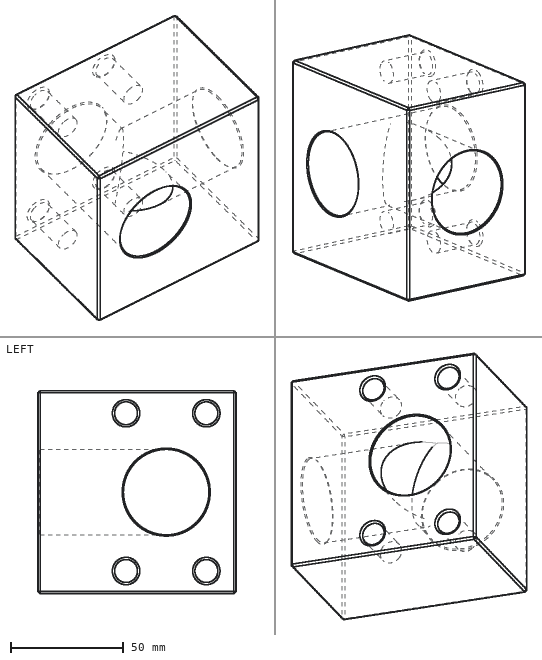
import cadquery as cq
import math

width = 65.0
depth = 88.0
height = 90.0
edge_chamfer = 1.0

bore_diameter = 38.0
bore_chamfer = 0.5
bore_offset_y = -13.0

screw_diameter = 10.2
screw_chamfer = 1.0
screw_depth = 22.5
screw_tip_angle = 118.0
screw_spacing_y = 35.6
screw_spacing_z = 70.0


def hole_cutter(diameter, length, chamfer, tip_length=0):
    """Cutter along +X from the origin, with a 45 degree mouth and an optional conical tip."""
    radius = diameter / 2
    profile = [(0, 0), (0, radius + chamfer), (chamfer, radius), (length, radius), (length + tip_length, 0)]
    return cq.Workplane("XY").polyline(profile).close().revolve(360, (0, 0, 0), (1, 0, 0))


block = cq.Workplane("XY").box(width, depth, height).edges().chamfer(edge_chamfer)

half_bore = hole_cutter(bore_diameter, width / 2, bore_chamfer).translate((-width / 2, bore_offset_y, 0))
result = block.cut(half_bore).cut(half_bore.mirror("YZ"))

branch_length = depth / 2 - bore_offset_y
branch_bore = hole_cutter(bore_diameter, branch_length, bore_chamfer)
branch_bore = branch_bore.rotate((0, 0, 0), (0, 0, 1), -90).translate((0, depth / 2, 0))
result = result.cut(branch_bore)

screw_tip_length = screw_diameter / 2 / math.tan(math.radians(screw_tip_angle / 2))
screw_hole = hole_cutter(screw_diameter, screw_depth, screw_chamfer, screw_tip_length)
for side_y in (-1, 1):
    for side_z in (-1, 1):
        screw_y = bore_offset_y + side_y * screw_spacing_y / 2
        screw_z = side_z * screw_spacing_z / 2
        result = result.cut(screw_hole.translate((-width / 2, screw_y, screw_z)))